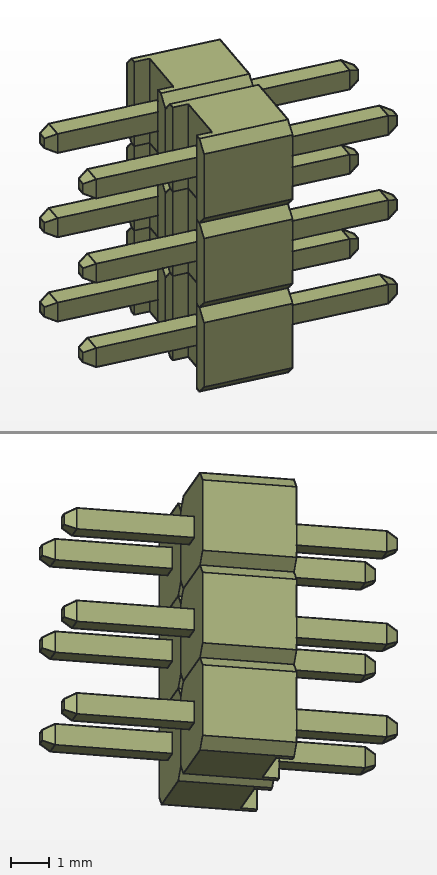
import cadquery as cq


pitch = 2.54
columns = 2
rows = 3
total_length = 8.88
cell_depth = 2.5
front_reach = 2.94
corner_chamfer = 0.3
channel_width = 1.56
channel_depth = 0.435
pin_width = 0.58
tip_width = 0.29
tip_length = 0.31

front_tip_y = -total_length / 2
back_tip_y = total_length / 2
housing_front_y = front_tip_y + front_reach
housing_center_y = housing_front_y + cell_depth / 2
channel_center_y = housing_front_y + channel_depth / 2


def make_housing_cell():
    """Square block with chamfered long edges and a vertical channel in its front face."""
    block = (
        cq.Workplane("XY")
        .box(pitch, cell_depth, pitch)
        .edges("|Y")
        .chamfer(corner_chamfer)
        .translate((0, housing_center_y, 0))
    )
    channel = cq.Workplane("XY").box(channel_width, channel_depth, pitch).translate((0, channel_center_y, 0))
    return block.cut(channel)


def make_tip(end_y, inward):
    """Tapered pin end with its small face at end_y; inward is the Y direction towards the housing."""
    end_plane = cq.Plane(origin=(0, end_y, 0), xDir=(1, 0, 0), normal=(0, inward, 0))
    return (
        cq.Workplane(end_plane)
        .rect(tip_width, tip_width)
        .workplane(offset=tip_length)
        .rect(pin_width, pin_width)
        .loft(ruled=True)
    )


def make_pin():
    """Square pin with a tapered tip at each end."""
    shank = cq.Workplane("XY").box(pin_width, total_length - 2 * tip_length, pin_width)
    front_tip = make_tip(front_tip_y, 1)
    back_tip = make_tip(back_tip_y, -1)
    return shank.union(front_tip).union(back_tip)


def make_contact(center_x, center_z):
    """One body: a housing cell and its pin, placed at its grid position."""
    return make_housing_cell().union(make_pin()).translate((center_x, 0, center_z))


contacts = []
for column in range(columns):
    for row in range(rows):
        center_x = (column - (columns - 1) / 2) * pitch
        center_z = (row - (rows - 1) / 2) * pitch
        contacts.append(make_contact(center_x, center_z).solids().val())

result = cq.Compound.makeCompound(contacts)